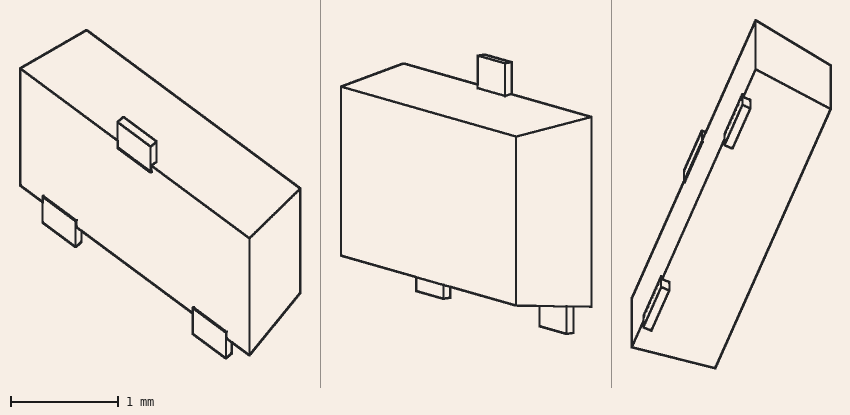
import cadquery as cq
import math

housing_width = 2.9
housing_height = 1.8
housing_depth = 0.8
draft_angle = 7.0

lead_width = 0.42
lead_height = 0.4
lead_thickness = 0.08
lead_standoff = 0.01
lead_span = 2.4
lead_spacing = 1.9

lead_z = (lead_span - lead_height) / 2
lead_centers = [
    (0, lead_z),
    (-lead_spacing / 2, -lead_z),
    (lead_spacing / 2, -lead_z),
]


def make_lead(x, z):
    """One flat lead centred at (x, z), with its front ahead of the housing face."""
    return (
        cq.Workplane("XY")
        .box(lead_width, lead_thickness, lead_height)
        .translate((x, lead_thickness / 2 - lead_standoff, z))
    )


def make_housing():
    """Block whose four sides slope inward from the front face to the back face."""
    inset = housing_depth * math.tan(math.radians(draft_angle))
    return (
        cq.Workplane("XZ")
        .rect(housing_width, housing_height)
        .workplane(offset=-housing_depth)
        .rect(housing_width - 2 * inset, housing_height - 2 * inset)
        .loft(ruled=True)
    )


leads = [make_lead(x, z) for x, z in lead_centers]

housing = make_housing()
for lead in leads:
    housing = housing.cut(lead)

result = cq.Compound.makeCompound([housing.solids().val(), *[lead.val() for lead in leads]])